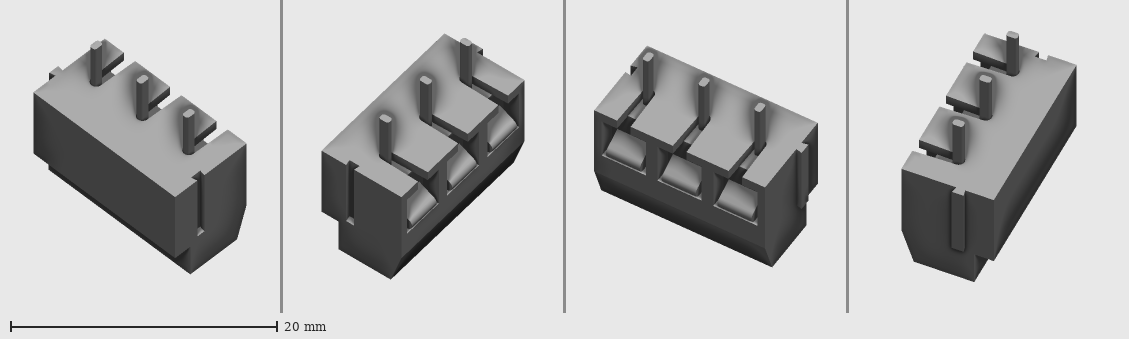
import cadquery as cq
import math


housing_length = 15.0
housing_depth = 7.64
housing_height = 9.97
foot_height = 3.11
foot_front_step = 1.62
foot_back_taper = 1.03

dovetail_y = 2.74
dovetail_reach = 0.55
dovetail_root_width = 0.75
dovetail_tip_width = 0.98
dovetail_height = 6.3

terminal_count = 3
terminal_pitch = 4.9
terminal_xs = [(i - (terminal_count - 1) / 2) * terminal_pitch for i in range(terminal_count)]

pin_y = 4.09
pin_width = 0.59
pin_depth = 0.9
pin_corner_radius = 0.22
pin_rise = 4.14

slot_depth = 0.89
slot_mouth_width = 1.2
slot_end_radius = 0.5

pocket_width = 3.89
pocket_reach = 1.51

lever_width = 2.99
lever_nose_radius = 0.55
lever_overhang = 0.14
lever_slope = 30.0
lever_nose_y = housing_depth + lever_overhang - lever_nose_radius
lever_nose_z = -4.15

pocket_back_y = housing_depth - pocket_reach
pocket_floor_z = lever_nose_z - lever_nose_radius


def side_extrusion(profile, width, x_middle):
    """Extrude a closed YZ profile along X, centred on x_middle."""
    return profile.extrude(width / 2, both=True).translate((x_middle, 0, 0))


def make_dovetail(x_root):
    """Upright dovetail bar, narrow at x_root and wide at its tip towards -X."""
    return (
        cq.Workplane("XY")
        .polyline([
            (x_root, dovetail_y - dovetail_root_width / 2),
            (x_root, dovetail_y + dovetail_root_width / 2),
            (x_root - dovetail_reach, dovetail_y + dovetail_tip_width / 2),
            (x_root - dovetail_reach, dovetail_y - dovetail_tip_width / 2),
        ])
        .close()
        .extrude(-dovetail_height)
    )


def make_slot(x):
    """Tapered slot with a round end, open through the back face."""
    return (
        cq.Workplane("XY")
        .moveTo(x - slot_mouth_width / 2, housing_depth)
        .lineTo(x - slot_end_radius, pin_y)
        .threePointArc((x, pin_y - slot_end_radius), (x + slot_end_radius, pin_y))
        .lineTo(x + slot_mouth_width / 2, housing_depth)
        .close()
        .extrude(-slot_depth)
    )


def make_pocket(x):
    """Box-shaped recess in the back face whose ceiling is level with the slot floor."""
    profile = cq.Workplane("YZ").polyline([
        (pocket_back_y, pocket_floor_z),
        (housing_depth, pocket_floor_z),
        (housing_depth, -slot_depth),
        (pocket_back_y, -slot_depth),
    ]).close()
    return side_extrusion(profile, pocket_width, x)


def make_housing():
    profile = cq.Workplane("YZ").polyline([
        (0, 0),
        (housing_depth, 0),
        (housing_depth, foot_height - housing_height),
        (housing_depth - foot_back_taper, -housing_height),
        (foot_front_step, -housing_height),
        (foot_front_step, foot_height - housing_height),
        (0, foot_height - housing_height),
    ]).close()
    body = side_extrusion(profile, housing_length, 0)
    body = body.union(make_dovetail(-housing_length / 2))
    body = body.cut(make_dovetail(housing_length / 2))
    for x in terminal_xs:
        body = body.cut(make_slot(x)).cut(make_pocket(x))
    return body


def make_pin(x):
    """Upright pin with rounded corners, standing on the slot floor."""
    return (
        cq.Workplane("XY", origin=(x, pin_y, -slot_depth))
        .rect(pin_width, pin_depth)
        .extrude(slot_depth + pin_rise)
        .edges("|Z")
        .fillet(pin_corner_radius)
    )


def make_lever(x):
    """Wedge lying on the pocket floor, its slope running down into a round nose."""
    slope = math.radians(lever_slope)
    tangent_y = lever_nose_y + lever_nose_radius * math.sin(slope)
    tangent_z = lever_nose_z + lever_nose_radius * math.cos(slope)
    back_top_z = tangent_z + (tangent_y - pocket_back_y) * math.tan(slope)
    profile = (
        cq.Workplane("YZ")
        .moveTo(pocket_back_y, pocket_floor_z)
        .lineTo(lever_nose_y, pocket_floor_z)
        .threePointArc((lever_nose_y + lever_nose_radius, lever_nose_z), (tangent_y, tangent_z))
        .lineTo(pocket_back_y, back_top_z)
        .close()
    )
    return side_extrusion(profile, lever_width, x)


housing = make_housing()
pins = [make_pin(x) for x in terminal_xs]
levers = [make_lever(x) for x in terminal_xs]

result = cq.Compound.makeCompound([
    housing.val(),
    *[pin.val() for pin in pins],
    *[lever.val() for lever in levers],
])